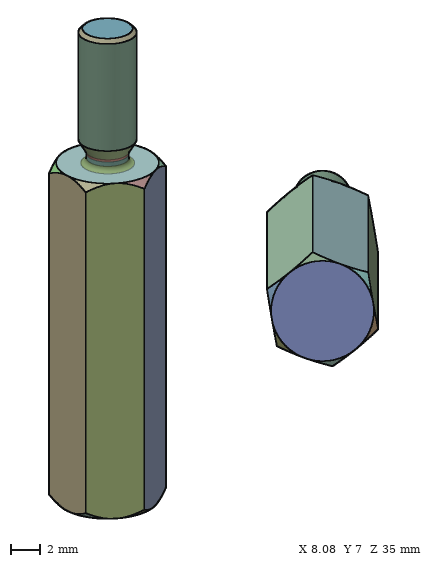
import cadquery as cq
import math

total_length = 35.0
body_length = 25.0
across_flats = 7.0
stud_diameter = 4.0
stud_tip_chamfer = 0.28
neck_diameter = 2.9
undercut_length = 1.75
undercut_angle = 30.0
undercut_fillet = 0.4
corner_chamfer_angle = 45.0

across_corners = across_flats / math.cos(math.radians(30))
flat_radius = across_flats / 2
corner_radius = across_corners / 2
corner_drop = (corner_radius - flat_radius) * math.tan(math.radians(corner_chamfer_angle))
stud_radius = stud_diameter / 2
neck_radius = neck_diameter / 2
cone_height = (stud_radius - neck_radius) / math.tan(math.radians(undercut_angle))


def make_hex_body():
    """Hexagonal prism with both ends turned down at the corners."""
    prism = cq.Workplane("XY").polygon(6, across_corners).extrude(body_length)
    turned_blank = (
        cq.Workplane("XZ")
        .moveTo(0, 0)
        .lineTo(flat_radius, 0)
        .lineTo(corner_radius, corner_drop)
        .lineTo(corner_radius, body_length - corner_drop)
        .lineTo(flat_radius, body_length)
        .lineTo(0, body_length)
        .close()
        .revolve(360, (0, 0), (0, 1))
    )
    return prism.intersect(turned_blank)


def make_stud():
    """Round stud with a chamfered tip and a conical undercut at its root."""
    undercut_top = body_length + undercut_length
    return (
        cq.Workplane("XZ")
        .moveTo(0, body_length)
        .lineTo(neck_radius, body_length)
        .lineTo(neck_radius, undercut_top - cone_height)
        .lineTo(stud_radius, undercut_top)
        .lineTo(stud_radius, total_length - stud_tip_chamfer)
        .lineTo(stud_radius - stud_tip_chamfer, total_length)
        .lineTo(0, total_length)
        .close()
        .revolve(360, (0, 0), (0, 1))
    )


def round_neck_ends(standoff):
    """Fillet the neck where it meets the body and where it meets the cone."""
    smallest_circles = cq.selectors.RadiusNthSelector(0)
    return standoff.edges("%CIRCLE").edges(smallest_circles).fillet(undercut_fillet)


result = round_neck_ends(make_hex_body().union(make_stud()))